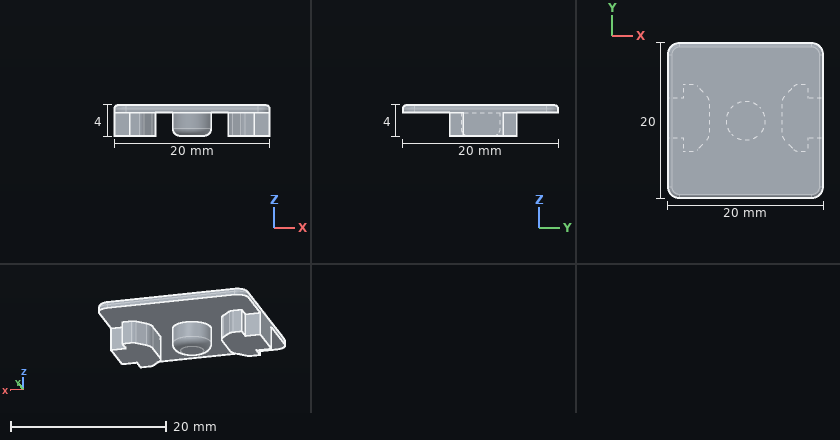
import cadquery as cq
import math

plate_side = 20
plate_thickness = 1
plate_corner_radius = 1.5
plate_edge_radius = plate_thickness / 2

drop = 3
pin_diameter = 5
pin_tip_radius = 1

foot_center_y = 0.35
tab_length = 2
tab_width = 5.2
head_width = 8.65
head_flat_length = 1.2
shoulder_radius = 0.8
slope_run = 1.05
nose_radius = 1.75


def make_plate():
    plate = cq.Workplane("XY").rect(plate_side, plate_side).extrude(plate_thickness)
    plate = plate.edges("|Z").fillet(plate_corner_radius)
    return plate.faces(">Z").edges().fillet(plate_edge_radius)


def make_pin():
    pin = cq.Workplane("XY").circle(pin_diameter / 2).extrude(-drop)
    return pin.faces("<Z").edges().fillet(pin_tip_radius)


def make_left_foot():
    outer_x = -plate_side / 2
    head_x = outer_x + tab_length
    half_tab = tab_width / 2
    half_head = head_width / 2

    diagonal = math.sqrt(0.5)
    half_turn_sin = math.sin(math.pi / 8)
    half_turn_cos = math.cos(math.pi / 8)
    shoulder_x = head_x + head_flat_length
    slope_start = (shoulder_x + shoulder_radius * diagonal, half_head - shoulder_radius * (1 - diagonal))
    shoulder_mid = (
        shoulder_x + shoulder_radius * half_turn_sin,
        half_head - shoulder_radius * (1 - half_turn_cos),
    )
    slope_end = (slope_start[0] + slope_run, slope_start[1] - slope_run)
    nose_center_x = slope_end[0] - nose_radius * diagonal
    nose_center_y = slope_end[1] - nose_radius * diagonal
    nose_mid = (nose_center_x + nose_radius * half_turn_cos, nose_center_y + nose_radius * half_turn_sin)
    nose_end = (nose_center_x + nose_radius, nose_center_y)

    def opposite(point):
        return (point[0], -point[1])

    profile = (
        cq.Workplane("XY", origin=(0, foot_center_y, 0))
        .moveTo(outer_x, -half_tab)
        .lineTo(outer_x, half_tab)
        .lineTo(head_x, half_tab)
        .lineTo(head_x, half_head)
        .lineTo(shoulder_x, half_head)
        .threePointArc(shoulder_mid, slope_start)
        .lineTo(*slope_end)
        .threePointArc(nose_mid, nose_end)
        .lineTo(*opposite(nose_end))
        .threePointArc(opposite(nose_mid), opposite(slope_end))
        .lineTo(*opposite(slope_start))
        .threePointArc(opposite(shoulder_mid), (shoulder_x, -half_head))
        .lineTo(head_x, -half_head)
        .lineTo(head_x, -half_tab)
        .close()
    )
    return profile.extrude(-drop)


left_foot = make_left_foot()
result = make_plate().union(make_pin()).union(left_foot).union(left_foot.mirror("YZ"))
result = result.translate((0, 0, (drop - plate_thickness) / 2))